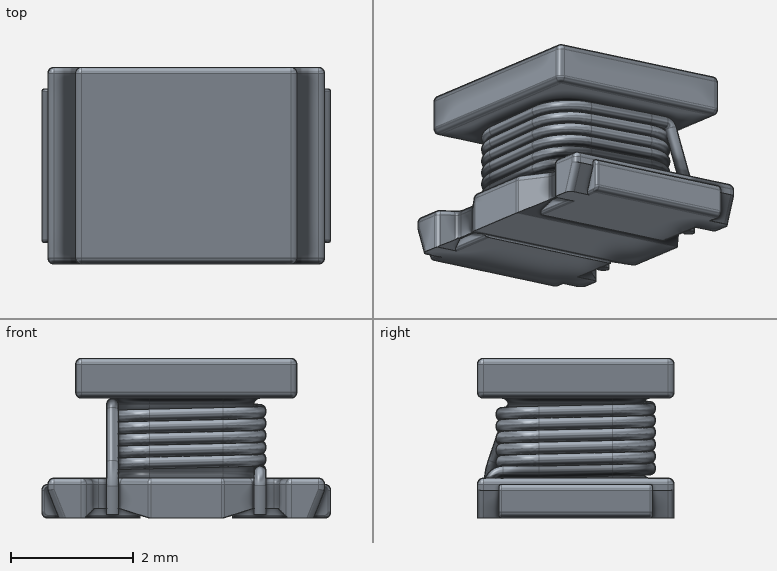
import cadquery as cq
import math

DEPTH = 3.2
FLANGE_THICKNESS = 0.65
EDGE_RADIUS = 0.1
TOP_LENGTH = 3.6
BASE_LENGTH = 4.5
HEIGHT = 2.6
TOP_UNDERSIDE = HEIGHT - FLANGE_THICKNESS

END_UNDERCUT = 0.18
UNDERCUT_HEIGHT = 0.45

POST_WIDTH = 2.2
POST_CORNER_RADIUS = 0.5
POST_FILLET = 0.1

NOTCH_INNER_X = 1.1
NOTCH_OUTER_X = 1.49
NOTCH_MOUTH_INNER_X = 0.6
NOTCH_MOUTH_OUTER_X = 1.65
NOTCH_FLOOR_Y = 1.28

CHANNEL_DEPTH = 0.16

TERMINAL_OUTER_X = 2.35
TERMINAL_INNER_X = 0.75
TERMINAL_WIDTH = 2.5
TERMINAL_HEIGHT = 0.55
TERMINAL_FOOT_THICKNESS = 0.25
TERMINAL_BEND_RADIUS = 0.1
TERMINAL_EDGE_RADIUS = 0.045

WIRE_RADIUS = 0.095
WIRE_OFFSET = 0.1
COIL_HALF_WIDTH = POST_WIDTH / 2 + WIRE_OFFSET
COIL_STRAIGHT_HALF = POST_WIDTH / 2 - POST_CORNER_RADIUS
COIL_CORNER_RADIUS = COIL_HALF_WIDTH - COIL_STRAIGHT_HALF
COIL_BOTTOM = FLANGE_THICKNESS + WIRE_OFFSET
COIL_TOP = TOP_UNDERSIDE - WIRE_OFFSET
FULL_TURNS = 5
LEG_Y = -1.4
LEG_END = 0.06
START_BEND_RADIUS = 0.22
FINISH_BEND_Y = -0.925
FINISH_BEND_RADIUS = 0.12
FINISH_LEAN = 19
LEG_BEND_RADIUS = 1.2


def make_base():
    """Flange with undercut ends, rounded upper edges, four notches and two underside channels."""
    half = BASE_LENGTH / 2
    foot = half - END_UNDERCUT
    base = (
        cq.Workplane("XZ")
        .polyline([
            (-foot, 0),
            (foot, 0),
            (half, UNDERCUT_HEIGHT),
            (half, FLANGE_THICKNESS),
            (-half, FLANGE_THICKNESS),
            (-half, UNDERCUT_HEIGHT),
        ])
        .close()
        .extrude(DEPTH / 2, both=True)
    )
    for x_side in (-1, 1):
        for y_side in (-1, 1):
            base = base.cut(make_notch(x_side, y_side))
    base = base.edges("not(#Z)").fillet(EDGE_RADIUS)
    base = base.faces(">Z").edges().fillet(EDGE_RADIUS)
    for x_side in (-1, 1):
        base = base.cut(make_channel(x_side))
    return base


def make_notch(x_side, y_side):
    return (
        cq.Workplane("XY")
        .polyline([
            (x_side * NOTCH_MOUTH_INNER_X, y_side * DEPTH / 2),
            (x_side * NOTCH_INNER_X, y_side * NOTCH_FLOOR_Y),
            (x_side * NOTCH_OUTER_X, y_side * NOTCH_FLOOR_Y),
            (x_side * NOTCH_MOUTH_OUTER_X, y_side * DEPTH / 2),
        ])
        .close()
        .extrude(FLANGE_THICKNESS)
    )


def make_channel(x_side):
    return (
        cq.Workplane("XZ")
        .polyline([
            (x_side * NOTCH_MOUTH_INNER_X, 0),
            (x_side * NOTCH_INNER_X, CHANNEL_DEPTH),
            (x_side * NOTCH_OUTER_X, CHANNEL_DEPTH),
            (x_side * NOTCH_MOUTH_OUTER_X, 0),
        ])
        .close()
        .extrude(DEPTH / 2, both=True)
    )


def make_terminal(x_side):
    """L-shaped end cap: a tall outer block and a thin foot running under the base."""
    block_inner_x = BASE_LENGTH / 2 - 2 * END_UNDERCUT
    terminal = (
        cq.Workplane("XZ")
        .polyline([
            (x_side * TERMINAL_OUTER_X, 0),
            (x_side * TERMINAL_INNER_X, 0),
            (x_side * TERMINAL_INNER_X, TERMINAL_FOOT_THICKNESS),
            (x_side * block_inner_x, TERMINAL_FOOT_THICKNESS),
            (x_side * block_inner_x, TERMINAL_HEIGHT),
            (x_side * TERMINAL_OUTER_X, TERMINAL_HEIGHT),
        ])
        .close()
        .extrude(TERMINAL_WIDTH / 2, both=True)
    )
    outer_face = ">X" if x_side > 0 else "<X"
    terminal = terminal.faces(outer_face).edges("|Y").fillet(TERMINAL_BEND_RADIUS)
    return terminal.faces("<Y or >Y").edges().fillet(TERMINAL_EDGE_RADIUS)


def make_post():
    return (
        cq.Workplane("XY")
        .workplane(offset=FLANGE_THICKNESS)
        .rect(POST_WIDTH, POST_WIDTH)
        .extrude(TOP_UNDERSIDE - FLANGE_THICKNESS)
        .edges("|Z")
        .fillet(POST_CORNER_RADIUS)
    )


def make_top_flange():
    return (
        cq.Workplane("XY")
        .workplane(offset=TOP_UNDERSIDE)
        .rect(TOP_LENGTH, DEPTH)
        .extrude(FLANGE_THICKNESS)
        .edges()
        .fillet(EDGE_RADIUS)
    )


def make_core():
    core = make_base().union(make_post()).union(make_top_flange())
    reach = POST_WIDTH / 2 + EDGE_RADIUS / 2
    for z in (FLANGE_THICKNESS, TOP_UNDERSIDE):
        post_end = cq.selectors.BoxSelector(
            (-reach, -reach, z - EDGE_RADIUS / 2),
            (reach, reach, z + EDGE_RADIUS / 2),
        )
        core = core.edges(post_end).fillet(POST_FILLET)
    for x_side in (-1, 1):
        core = core.union(make_terminal(x_side))
    return core


def coil_edges():
    """Rounded-square helix, counterclockwise and rising, from the (+X, -Y) corner."""
    straight = 2 * COIL_STRAIGHT_HALF
    corner_arc = COIL_CORNER_RADIUS * math.pi / 2
    quarters = 4 * FULL_TURNS + 2
    coil_length = quarters * (straight + corner_arc) + straight
    slope = (COIL_TOP - COIL_BOTTOM) / coil_length
    corner_pitch = slope * 2 * math.pi * COIL_CORNER_RADIUS

    edges = []
    z = COIL_BOTTOM
    for quarter in range(quarters + 1):
        angle = 90 * (quarter % 4)
        side_top = z + slope * straight
        side = cq.Edge.makeLine(
            cq.Vector(COIL_HALF_WIDTH, -COIL_STRAIGHT_HALF, z),
            cq.Vector(COIL_HALF_WIDTH, COIL_STRAIGHT_HALF, side_top),
        )
        edges.append(side.rotate(cq.Vector(0, 0, 0), cq.Vector(0, 0, 1), angle))
        z = side_top
        if quarter < quarters:
            corner = cq.Wire.makeHelix(
                corner_pitch,
                slope * corner_arc,
                COIL_CORNER_RADIUS,
                cq.Vector(COIL_STRAIGHT_HALF, COIL_STRAIGHT_HALF, z),
            )
            corner = corner.rotate(cq.Vector(0, 0, 0), cq.Vector(0, 0, 1), angle)
            edges.extend(corner.Edges())
            z += slope * corner_arc
    return edges


def arc_edge(x, centre_y, centre_z, radius, first_angle, last_angle):
    """Arc in a plane of constant x; angles in degrees from +Y toward +Z."""
    points = []
    for angle in (first_angle, (first_angle + last_angle) / 2, last_angle):
        turn = math.radians(angle)
        y = centre_y + radius * math.cos(turn)
        z = centre_z + radius * math.sin(turn)
        points.append(cq.Vector(x, y, z))
    return cq.Edge.makeThreePointArc(*points)


def start_leg_edges():
    """From the foot of the +X leg up and over to the bottom of the coil."""
    x = COIL_HALF_WIDTH
    bend_z = COIL_BOTTOM - START_BEND_RADIUS
    bend_y = LEG_Y + START_BEND_RADIUS
    bend = arc_edge(x, bend_y, bend_z, START_BEND_RADIUS, 180, 90)
    leg = cq.Edge.makeLine(cq.Vector(x, LEG_Y, LEG_END), bend.startPoint())
    tail = cq.Edge.makeLine(bend.endPoint(), cq.Vector(x, -COIL_STRAIGHT_HALF, COIL_BOTTOM))
    return [leg, bend, tail]


def finish_leg_edges():
    """From the top of the coil along -Y, down a leaning run and into the -X leg."""
    x = -COIL_HALF_WIDTH
    lean = math.radians(FINISH_LEAN)
    upper_z = COIL_TOP - FINISH_BEND_RADIUS
    upper_bend = arc_edge(x, FINISH_BEND_Y, upper_z, FINISH_BEND_RADIUS, 90, 180 - FINISH_LEAN)
    lean_top = upper_bend.endPoint()

    lower_centre_y = LEG_Y + LEG_BEND_RADIUS
    lean_bottom_y = lower_centre_y - LEG_BEND_RADIUS * math.cos(lean)
    lean_bottom_z = lean_top.z - (lean_top.y - lean_bottom_y) / math.tan(lean)
    lower_centre_z = lean_bottom_z - LEG_BEND_RADIUS * math.sin(lean)
    lower_bend = arc_edge(x, lower_centre_y, lower_centre_z, LEG_BEND_RADIUS, 180 - FINISH_LEAN, 180)

    coil_end = cq.Vector(x, -COIL_STRAIGHT_HALF, COIL_TOP)
    tail = cq.Edge.makeLine(coil_end, upper_bend.startPoint())
    lean_run = cq.Edge.makeLine(lean_top, lower_bend.startPoint())
    leg = cq.Edge.makeLine(lower_bend.endPoint(), cq.Vector(x, LEG_Y, LEG_END))
    return [tail, upper_bend, lean_run, lower_bend, leg]


def make_wire():
    path = cq.Wire.assembleEdges(start_leg_edges() + coil_edges() + finish_leg_edges())
    return (
        cq.Workplane("XY")
        .workplane(offset=LEG_END)
        .center(COIL_HALF_WIDTH, LEG_Y)
        .circle(WIRE_RADIUS)
        .sweep(path, transition="right")
    )


core = make_core()
wire = make_wire()
result = cq.Compound.makeCompound([core.val(), wire.val()])